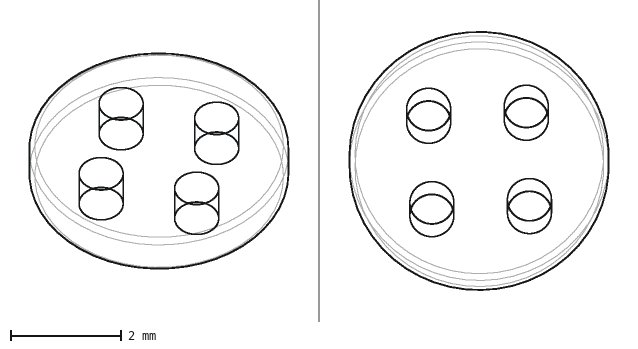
import cadquery as cq

disc_diameter = 4.7
disc_thickness = 0.8
edge_radius = 0.1
hole_diameter = 0.8
hole_circle_radius = 1.25
hole_count = 4


def rounded_disc():
    """Flat disc with both rims rounded, resting on the XY plane."""
    disc = cq.Workplane("XY").circle(disc_diameter / 2).extrude(disc_thickness)
    return disc.edges("%CIRCLE").fillet(edge_radius)


def through_holes():
    """Cylinders evenly spaced around the disc axis, the first one on +X."""
    return (
        cq.Workplane("XY")
        .polarArray(hole_circle_radius, 0, 360, hole_count)
        .circle(hole_diameter / 2)
        .extrude(disc_thickness)
    )


result = rounded_disc().cut(through_holes())